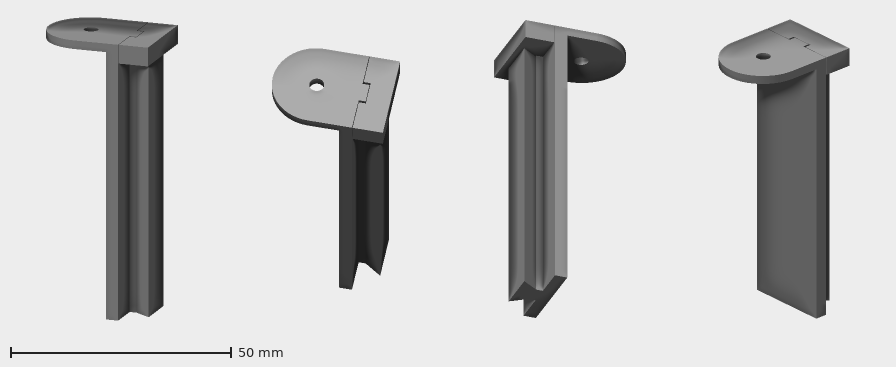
import cadquery as cq

height = 65.0
total_length = 27.5
width = 20.0

tab_thickness = 2.0
tab_radius = width / 2
hole_diameter = 3.4
hole_x = 10.2

plate_front_x = 17.35
plate_thickness = 3.0
plate_back_x = plate_front_x + plate_thickness

block_gap = 0.1
block_height = 4.4
block_base_z = height - block_height
block_front_x = plate_back_x + block_gap
block_length = total_length - block_front_x
notch_width = 5.65

neck_length = 1.6
neck_width = 4.6
dovetail_depth = 3.9
dovetail_wide_width = 10.0
dovetail_front_x = plate_back_x + neck_length
dovetail_back_x = dovetail_front_x + dovetail_depth


def make_box(x_start, length, box_width, z_start, box_height):
    """Box centred on Y, starting at the given X and Z."""
    return cq.Workplane("XY").box(length, box_width, box_height, centered=(False, True, False)).translate(
        (x_start, 0, z_start)
    )


def make_dovetail():
    """Prism that widens away from the plate and ends under the block."""
    narrow_half = neck_width / 2
    wide_half = dovetail_wide_width / 2
    return (
        cq.Workplane("XY")
        .moveTo(dovetail_front_x, -narrow_half)
        .lineTo(dovetail_back_x, -wide_half)
        .lineTo(dovetail_back_x, wide_half)
        .lineTo(dovetail_front_x, narrow_half)
        .close()
        .extrude(block_base_z)
    )


def make_tab():
    """Horizontal tab with a half-round end and a through hole."""
    tab_base_z = height - tab_thickness
    tab = make_box(tab_radius, plate_front_x - tab_radius, width, tab_base_z, tab_thickness)
    round_end = cq.Workplane("XY", origin=(tab_radius, 0, tab_base_z)).circle(tab_radius).extrude(tab_thickness)
    hole = cq.Workplane("XY", origin=(hole_x, 0, tab_base_z)).circle(hole_diameter / 2).extrude(tab_thickness)
    return tab.union(round_end).cut(hole)


def make_bracket():
    """Plate joined to its tab, neck and dovetail rail."""
    plate = make_box(plate_front_x, plate_thickness, width, 0, height)
    neck = make_box(plate_back_x, neck_length, neck_width, 0, height)
    return plate.union(make_tab()).union(neck).union(make_dovetail())


def make_block():
    """Block seated on the rail's upper end, with a front notch that clears the neck."""
    block = make_box(block_front_x, block_length, width, block_base_z, block_height)
    notch = make_box(block_front_x, neck_length, notch_width, block_base_z, block_height)
    return block.cut(notch)


bracket = make_bracket()
block = make_block()
result = cq.Compound.makeCompound([bracket.val(), block.val()])